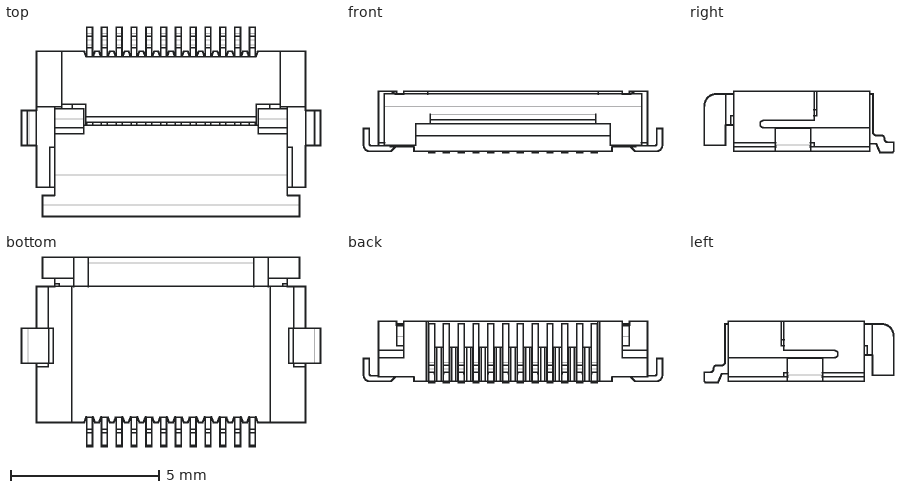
import cadquery as cq
import math


HOUSING_HALF = 4.55
HOUSING_LENGTH = 4.6
HOUSING_TOP = 2.07
HOUSING_BOTTOM = 0.19
BODY_HALF = 3.69
BASE_HALF = 3.35
BASE_BOTTOM = 0.035
RELIEF_HALF = 4.15
RELIEF_BOTTOM = 0.33
NOSE_EDGE_Y = 2.38
NOSE_TIP_Y = 2.2
NOSE_TIP_Z = 1.73
NOSE_LEDGE_Y = 2.1
NOSE_LEDGE_Z = 1.55

ARM_INNER = 3.93
ARM_LENGTH = 2.72
SLOT_BOTTOM = 0.84
SLOT_TOP = 1.085
SLOT_END_Y = 0.895
ARM_CHAMFER_WIDTH = 0.17
ARM_CHAMFER_DEPTH = 0.14
ARM_CHAMFER_LENGTH = 1.35

NOTCH_INNER = 2.88
NOTCH_END_Y = 2.81
NOTCH_STEP_X = 3.33
NOTCH_FLOOR_INNER = 1.45
NOTCH_FLOOR_OUTER = 1.24

HINGE_INNER = 2.94
HINGE_TOP = 1.91
HINGE_FRONT_Y = 1.81
HINGE_TOP_FRONT_Y = 2.01
HINGE_BACK_Y = 2.66
HINGE_RADIUS = 0.35

LID_HALF = 4.34
LID_FRONT_Y = -0.99
LID_BAR_BACK_Y = -0.27
LID_TOP = 1.98
LID_RADIUS = 0.41
LID_BOTTOM = 0.24
LID_SLOPE_Y = 0.427
LID_SLOPE_ANGLE = 17.6
LID_SIDE_BOTTOM = 0.925
LEG_INNER = 3.28
MOUTH_TOP = 0.97
MOUTH_NOTCH_HALF = 2.8
MOUTH_NOTCH_TOP = 1.29
LIP_RADIUS = 0.19
EDGE_STEP_TOP = 1.24
EDGE_STEP_FRONT_Y = -0.09
EDGE_STEP_DEPTH = 0.15

CAVITY_FLOOR = 0.57
CAVITY_END_Y = 1.6
CAVITY_RAMP = 0.06

PIN_COUNT = 12
PIN_PITCH = 0.5
PIN_WIDTH = 0.2
PIN_TOP = 1.98
PIN_BACK_Y = 4.71
PIN_TAIL_Y = 5.41
PIN_STEP_Y = 5.1
PIN_HEEL_Y = 4.82
PIN_SOLE_Y = 4.94
PIN_UNDERSIDE = 0.29
PIN_SHOULDER_Z = 0.58
PIN_FOOT_HEIGHT = 0.35
PIN_CORNER = 0.11
FOOT_BREAK = 0.04
RECESS_FLOOR_Y = 4.41
RECESS_FLOOR_HALF = 0.11
RECESS_MOUTH_HALF = 0.18
TEETH_TOP = 1.2
CONTACT_TIP_Z = 1.66

TAB_HALF = 5.05
TAB_THICKNESS = 0.2
TAB_FRONT_Y = 1.41
TAB_BACK_Y = 2.6
TAB_TOP = 0.82
TAB_INNER = 3.98
TAB_BEND_RADIUS = 0.22
TAB_INSIDE_RADIUS = 0.04
TAB_END_BREAK = 0.14


def box(x0, x1, y0, y1, z0, z1):
    return cq.Workplane("XY").box(x1 - x0, y1 - y0, z1 - z0, centered=False).translate((x0, y0, z0))


def centered_box(half_width, y0, y1, z0, z1):
    return box(-half_width, half_width, y0, y1, z0, z1)


def extrude_along_x(side_outline, x0, x1):
    """Extrude a closed outline drawn in (Y, Z) from x0 to x1."""
    return side_outline.close().extrude(x1 - x0).translate((x0, 0, 0))


def side_sketch():
    return cq.Workplane("YZ")


def both_sides(right_half):
    return right_half.union(right_half.mirror("YZ"))


def lid_slope_z(y):
    return LID_TOP - (y - LID_SLOPE_Y) * math.tan(math.radians(LID_SLOPE_ANGLE))


def pin_positions():
    first = -(PIN_COUNT - 1) * PIN_PITCH / 2
    return [first + index * PIN_PITCH for index in range(PIN_COUNT)]


def make_housing():
    floor = centered_box(HOUSING_HALF, 0, HOUSING_LENGTH, HOUSING_BOTTOM, SLOT_BOTTOM)
    base = centered_box(BASE_HALF, 0, HOUSING_LENGTH, BASE_BOTTOM, SLOT_BOTTOM)
    body_outline = (
        side_sketch()
        .moveTo(HOUSING_LENGTH, HOUSING_BOTTOM)
        .lineTo(HOUSING_LENGTH, HOUSING_TOP)
        .lineTo(NOSE_EDGE_Y, HOUSING_TOP)
        .lineTo(NOSE_TIP_Y, NOSE_TIP_Z)
        .lineTo(NOSE_TIP_Y, NOSE_LEDGE_Z)
        .lineTo(NOSE_LEDGE_Y, NOSE_LEDGE_Z)
        .lineTo(NOSE_LEDGE_Y, HOUSING_BOTTOM)
    )
    body = extrude_along_x(body_outline, -BODY_HALF, BODY_HALF)
    notch_outer = box(NOTCH_STEP_X, BODY_HALF, 0, NOTCH_END_Y, NOTCH_FLOOR_OUTER, HOUSING_TOP)
    notch_inner = box(NOTCH_INNER, NOTCH_STEP_X, 0, NOTCH_END_Y, NOTCH_FLOOR_INNER, HOUSING_TOP)
    body = body.cut(both_sides(notch_outer.union(notch_inner)))
    relief = box(RELIEF_HALF, HOUSING_HALF, 0, ARM_LENGTH, HOUSING_BOTTOM, RELIEF_BOTTOM)
    return floor.union(base).cut(both_sides(relief)).union(body)


def make_arms():
    arm = box(ARM_INNER, HOUSING_HALF, 0, ARM_LENGTH, RELIEF_BOTTOM, HOUSING_TOP)
    chamfer = (
        cq.Workplane("XZ")
        .moveTo(ARM_INNER, HOUSING_TOP)
        .lineTo(ARM_INNER + ARM_CHAMFER_WIDTH, HOUSING_TOP)
        .lineTo(ARM_INNER, HOUSING_TOP - ARM_CHAMFER_DEPTH)
        .close()
        .extrude(-ARM_CHAMFER_LENGTH)
    )
    return both_sides(arm.cut(chamfer))


def make_arm_slots():
    """Round-ended slots that run forward under the arms, as deep as the sides of the body."""
    slot_radius = (SLOT_TOP - SLOT_BOTTOM) / 2
    slot_outline = (
        side_sketch()
        .moveTo(ARM_LENGTH, SLOT_BOTTOM)
        .lineTo(SLOT_END_Y + slot_radius, SLOT_BOTTOM)
        .threePointArc(
            (SLOT_END_Y, SLOT_BOTTOM + slot_radius),
            (SLOT_END_Y + slot_radius, SLOT_TOP),
        )
        .lineTo(ARM_LENGTH, SLOT_TOP)
    )
    return both_sides(extrude_along_x(slot_outline, BODY_HALF, HOUSING_HALF))


def make_lid():
    bar = centered_box(LID_HALF, LID_FRONT_Y, LID_BAR_BACK_Y, LID_BOTTOM, LID_TOP)
    bar = bar.faces("<Y").edges(">Z").fillet(LID_RADIUS)
    bar = bar.cut(centered_box(LEG_INNER, LID_FRONT_Y, LID_BAR_BACK_Y, LID_BOTTOM, MOUTH_TOP))

    plate_outline = (
        side_sketch()
        .moveTo(LID_BAR_BACK_Y, LID_SIDE_BOTTOM)
        .lineTo(LID_BAR_BACK_Y, LID_TOP)
        .lineTo(LID_SLOPE_Y, LID_TOP)
        .lineTo(NOSE_LEDGE_Y, lid_slope_z(NOSE_LEDGE_Y))
        .lineTo(HINGE_BACK_Y, lid_slope_z(NOSE_LEDGE_Y))
        .lineTo(HINGE_BACK_Y, NOTCH_FLOOR_OUTER)
        .lineTo(ARM_LENGTH, NOTCH_FLOOR_OUTER)
        .lineTo(ARM_LENGTH, SLOT_BOTTOM)
        .lineTo(0, SLOT_BOTTOM)
        .lineTo(0, LID_SIDE_BOTTOM)
    )
    plate = extrude_along_x(plate_outline, -ARM_INNER, ARM_INNER)
    step_inner = ARM_INNER - EDGE_STEP_DEPTH
    edge_step = box(step_inner, ARM_INNER, EDGE_STEP_FRONT_Y, 0, LID_SIDE_BOTTOM, EDGE_STEP_TOP)
    return bar.union(plate).cut(both_sides(edge_step))


def make_hinges():
    round_start_y = HINGE_BACK_Y - HINGE_RADIUS
    round_offset = HINGE_RADIUS * math.sqrt(0.5)
    hinge_outline = (
        side_sketch()
        .moveTo(HINGE_FRONT_Y, SLOT_TOP)
        .lineTo(HINGE_FRONT_Y, lid_slope_z(HINGE_FRONT_Y))
        .lineTo(HINGE_TOP_FRONT_Y, HINGE_TOP)
        .lineTo(round_start_y, HINGE_TOP)
        .threePointArc(
            (round_start_y + round_offset, HINGE_TOP - HINGE_RADIUS + round_offset),
            (HINGE_BACK_Y, HINGE_TOP - HINGE_RADIUS),
        )
        .lineTo(HINGE_BACK_Y, SLOT_TOP)
    )
    return both_sides(extrude_along_x(hinge_outline, HINGE_INNER, ARM_INNER))


def make_cable_cavity():
    """Cable mouth with a rounded upper lip and a sloped ceiling at its end."""
    ceiling = MOUTH_NOTCH_TOP - LIP_RADIUS
    round_offset = LIP_RADIUS * math.sqrt(0.5)
    upper_outline = (
        side_sketch()
        .moveTo(LID_FRONT_Y, CAVITY_FLOOR)
        .lineTo(LID_FRONT_Y, MOUTH_NOTCH_TOP)
        .threePointArc(
            (LID_FRONT_Y + LIP_RADIUS - round_offset, MOUTH_NOTCH_TOP - round_offset),
            (LID_FRONT_Y + LIP_RADIUS, ceiling),
        )
        .lineTo(CAVITY_END_Y - CAVITY_RAMP, ceiling)
        .lineTo(CAVITY_END_Y, MOUTH_TOP)
        .lineTo(CAVITY_END_Y, CAVITY_FLOOR)
    )
    upper = extrude_along_x(upper_outline, -MOUTH_NOTCH_HALF, MOUTH_NOTCH_HALF)
    lower = centered_box(LEG_INNER, LID_FRONT_Y, CAVITY_END_Y, CAVITY_FLOOR, MOUTH_TOP)
    return upper.union(lower)


def make_pin(x):
    corner_offset = PIN_CORNER * (1 - math.sqrt(0.5))
    pin_outline = (
        side_sketch()
        .moveTo(RECESS_FLOOR_Y, PIN_UNDERSIDE)
        .lineTo(PIN_HEEL_Y, PIN_UNDERSIDE)
        .lineTo(PIN_SOLE_Y, 0)
        .lineTo(PIN_TAIL_Y - FOOT_BREAK, 0)
        .lineTo(PIN_TAIL_Y, FOOT_BREAK)
        .lineTo(PIN_TAIL_Y, PIN_FOOT_HEIGHT)
        .lineTo(PIN_STEP_Y + PIN_CORNER, PIN_FOOT_HEIGHT)
        .threePointArc(
            (PIN_STEP_Y + corner_offset, PIN_FOOT_HEIGHT + corner_offset),
            (PIN_STEP_Y, PIN_FOOT_HEIGHT + PIN_CORNER),
        )
        .threePointArc(
            (PIN_STEP_Y - corner_offset, PIN_SHOULDER_Z - corner_offset),
            (PIN_STEP_Y - PIN_CORNER, PIN_SHOULDER_Z),
        )
        .lineTo(PIN_BACK_Y + PIN_CORNER, PIN_SHOULDER_Z)
        .threePointArc(
            (PIN_BACK_Y + corner_offset, PIN_SHOULDER_Z + corner_offset),
            (PIN_BACK_Y, PIN_SHOULDER_Z + PIN_CORNER),
        )
        .lineTo(PIN_BACK_Y, PIN_TOP)
        .lineTo(RECESS_FLOOR_Y, PIN_TOP)
    )
    return extrude_along_x(pin_outline, x - PIN_WIDTH / 2, x + PIN_WIDTH / 2)


def make_contact_tip(x):
    """Wedge of a contact on the ledge below the nose of the body."""
    tip_outline = (
        side_sketch()
        .moveTo(NOSE_TIP_Y, CONTACT_TIP_Z)
        .lineTo(NOSE_LEDGE_Y, NOSE_LEDGE_Z)
        .lineTo(NOSE_TIP_Y, NOSE_LEDGE_Z)
    )
    return extrude_along_x(tip_outline, x - PIN_WIDTH / 2, x + PIN_WIDTH / 2)


def make_pin_recess(x):
    """Flared groove in the rear face of the housing around one pin."""
    return (
        cq.Workplane("XY")
        .moveTo(x - RECESS_FLOOR_HALF, RECESS_FLOOR_Y)
        .lineTo(x + RECESS_FLOOR_HALF, RECESS_FLOOR_Y)
        .lineTo(x + RECESS_MOUTH_HALF, HOUSING_LENGTH)
        .lineTo(x - RECESS_MOUTH_HALF, HOUSING_LENGTH)
        .close()
        .extrude(HOUSING_TOP)
    )


def make_teeth_clearance():
    """Flared pocket above the teeth, spanning the whole row of pins."""
    last_pin_x = max(pin_positions())
    floor_half = last_pin_x + RECESS_FLOOR_HALF
    mouth_half = last_pin_x + RECESS_MOUTH_HALF
    return (
        cq.Workplane("XY", origin=(0, 0, TEETH_TOP))
        .moveTo(-floor_half, RECESS_FLOOR_Y)
        .lineTo(floor_half, RECESS_FLOOR_Y)
        .lineTo(mouth_half, HOUSING_LENGTH)
        .lineTo(-mouth_half, HOUSING_LENGTH)
        .close()
        .extrude(HOUSING_TOP - TEETH_TOP)
    )


def make_tabs():
    bend_inner = TAB_HALF - TAB_THICKNESS
    foot_top = BASE_BOTTOM + TAB_THICKNESS
    tab = box(TAB_INNER, TAB_HALF, TAB_FRONT_Y, TAB_BACK_Y, BASE_BOTTOM, TAB_TOP)
    inside = box(TAB_INNER, bend_inner, TAB_FRONT_Y, TAB_BACK_Y, foot_top, TAB_TOP)
    inside = inside.edges("|Y and >X and <Z").fillet(TAB_INSIDE_RADIUS)
    tab = tab.edges("|Y and >X and <Z").fillet(TAB_BEND_RADIUS)
    tab = tab.edges("|Y and <X and <Z").chamfer(TAB_END_BREAK)
    return both_sides(tab.cut(inside))


connector = make_housing().union(make_arms()).union(make_lid()).union(make_hinges())
connector = connector.cut(make_arm_slots()).cut(make_cable_cavity()).cut(make_teeth_clearance())
for pin_x in pin_positions():
    connector = connector.cut(make_pin_recess(pin_x))
for pin_x in pin_positions():
    connector = connector.union(make_pin(pin_x)).union(make_contact_tip(pin_x))
result = connector.union(make_tabs())